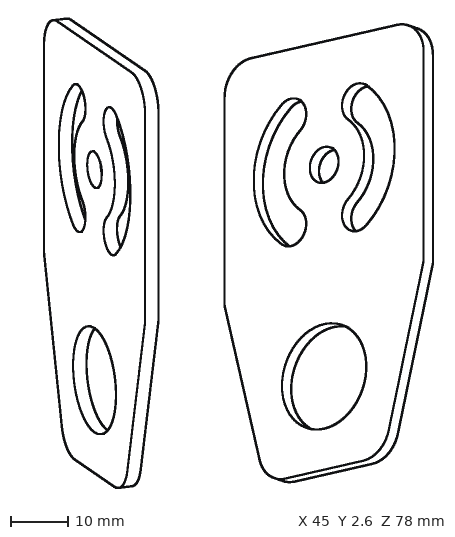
import cadquery as cq
import math

height = 78.0
width = 45.0
thickness = 2.6
corner_radius = 6.0

shoulder_height = 34.0
taper_angle = 15.0

large_hole_diameter = 19.0
large_hole_height = 17.0
pivot_hole_diameter = 6.5
pivot_height = 55.5

slot_radius = 12.5
slot_width = 6.9
slot_end_offset = 7.5

half_width = width / 2
bottom_half_width = half_width - shoulder_height * math.tan(math.radians(taper_angle))


def make_plate():
    """Tapered plate with the top and bottom corners rounded."""
    outline = [
        (-bottom_half_width, 0),
        (bottom_half_width, 0),
        (half_width, shoulder_height),
        (half_width, height),
        (-half_width, height),
        (-half_width, shoulder_height),
    ]
    plate = cq.Workplane("XZ").polyline(outline).close().extrude(thickness)
    rounded_corners = plate.edges("|Y and >Z").add(plate.edges("|Y and <Z"))
    return rounded_corners.fillet(corner_radius)


def make_hole(diameter, centre_height):
    """Cylinder through the plate on its centre line."""
    return cq.Workplane("XZ").center(0, centre_height).circle(diameter / 2).extrude(thickness)


def make_arc_slot(side):
    """Round-ended arc slot beside the pivot: side is -1 for -X, +1 for +X."""
    end_angle = math.acos(slot_end_offset / slot_radius)
    outer_radius = slot_radius + slot_width / 2
    inner_radius = slot_radius - slot_width / 2

    def polar(radius, angle):
        return (side * radius * math.cos(angle), radius * math.sin(angle))

    def end_tip(angle):
        """Outermost point of the round slot end, half a slot width past its centre."""
        centre_x, centre_z = polar(slot_radius, angle)
        direction = math.copysign(slot_width / 2, angle)
        return (centre_x - side * direction * math.sin(angle), centre_z + direction * math.cos(angle))

    return (
        cq.Workplane("XZ")
        .center(0, pivot_height)
        .moveTo(*polar(outer_radius, -end_angle))
        .threePointArc(polar(outer_radius, 0), polar(outer_radius, end_angle))
        .threePointArc(end_tip(end_angle), polar(inner_radius, end_angle))
        .threePointArc(polar(inner_radius, 0), polar(inner_radius, -end_angle))
        .threePointArc(end_tip(-end_angle), polar(outer_radius, -end_angle))
        .close()
        .extrude(thickness)
    )


result = make_plate()
result = result.cut(make_hole(large_hole_diameter, large_hole_height))
result = result.cut(make_hole(pivot_hole_diameter, pivot_height))
for slot_side in (-1, 1):
    result = result.cut(make_arc_slot(slot_side))